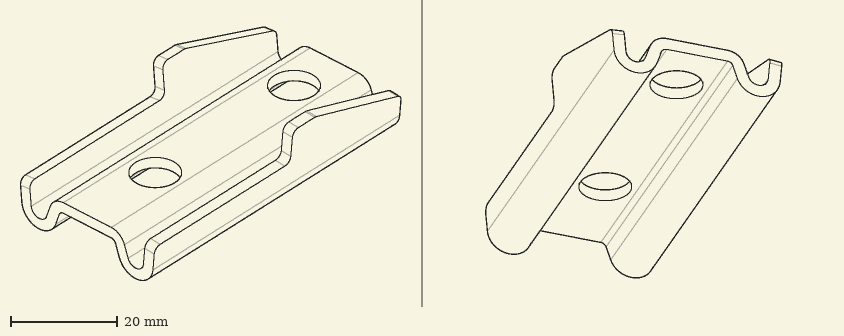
import cadquery as cq
import math

length = 69.25
width = 35.6
height = 17.1

thickness = 2.4
web_top = 8.85
web_half_width = 6.1
web_outer_radius = 3.5
web_inner_radius = web_outer_radius - thickness
valley_outer_radius = 4.4
valley_inner_radius = valley_outer_radius - thickness
wall_tilt = math.radians(5.0)

shelf_height = 9.55
ramp_end_height = 8.9
crest_start = 9.75
crest_end = 3.4
corner_radius = 1.5

hole_diameter = 10.0
hole_positions = (23.3, -15.6)

wall_foot_height = valley_outer_radius - valley_inner_radius * math.sin(wall_tilt)
wall_length = (height - wall_foot_height) / math.cos(wall_tilt)
valley_x = width / 2 - valley_outer_radius * math.cos(wall_tilt) - wall_length * math.sin(wall_tilt)
valley_centre = (valley_x, valley_outer_radius)
web_bend_centre = (web_half_width, web_top - web_outer_radius)

centre_dx = valley_centre[0] - web_bend_centre[0]
centre_dz = valley_centre[1] - web_bend_centre[1]
centre_distance = math.hypot(centre_dx, centre_dz)
flank_angle = math.atan2(centre_dz, centre_dx) + math.acos(
    (web_outer_radius + valley_inner_radius) / centre_distance
)


def on_circle(centre, radius, angle):
    """Point on a circle, with the angle measured from +X toward +Z."""
    return (centre[0] + radius * math.cos(angle), centre[1] + radius * math.sin(angle))


def make_bent_half():
    """Right half of the web, flank and valley, ending where the side wall begins."""
    web_mid = (flank_angle + math.pi / 2) / 2
    valley_start = flank_angle - math.pi
    valley_mid = (valley_start - wall_tilt) / 2
    return (
        cq.Workplane("XZ", origin=(0, length / 2, 0))
        .moveTo(0, web_top)
        .lineTo(web_half_width, web_top)
        .threePointArc(
            on_circle(web_bend_centre, web_outer_radius, web_mid),
            on_circle(web_bend_centre, web_outer_radius, flank_angle),
        )
        .lineTo(*on_circle(valley_centre, valley_inner_radius, valley_start))
        .threePointArc(
            on_circle(valley_centre, valley_inner_radius, valley_mid),
            on_circle(valley_centre, valley_inner_radius, -wall_tilt),
        )
        .lineTo(*on_circle(valley_centre, valley_outer_radius, -wall_tilt))
        .threePointArc(
            on_circle(valley_centre, valley_outer_radius, valley_mid),
            on_circle(valley_centre, valley_outer_radius, valley_start),
        )
        .lineTo(*on_circle(web_bend_centre, web_inner_radius, flank_angle))
        .threePointArc(
            on_circle(web_bend_centre, web_inner_radius, web_mid),
            (web_half_width, web_top - thickness),
        )
        .lineTo(0, web_top - thickness)
        .close()
        .extrude(length)
    )


def along_wall(z):
    """Distance up the tilted wall, from its foot, to height z on the inner face."""
    return (z - wall_foot_height) / math.cos(wall_tilt)


def make_wall():
    """Right side wall: a tilted plate with a ramp, a crest and a low shelf."""
    foot_x, foot_z = on_circle(valley_centre, valley_inner_radius, -wall_tilt)
    outward = (math.cos(wall_tilt), 0, -math.sin(wall_tilt))
    inner_face = cq.Plane(origin=(foot_x, 0, foot_z), xDir=(0, 1, 0), normal=outward)
    plate = (
        cq.Workplane(inner_face)
        .polyline([
            (-length / 2, 0),
            (length / 2, 0),
            (length / 2, along_wall(ramp_end_height)),
            (crest_start, wall_length),
            (crest_end, wall_length),
            (crest_end, along_wall(shelf_height)),
            (-length / 2, along_wall(shelf_height)),
        ])
        .close()
        .extrude(thickness)
    )
    corners = plate.edges(cq.selectors.ParallelDirSelector(cq.Vector(*outward)))
    above_foot = cq.selectors.BoxSelector(
        (0, -length, foot_z + corner_radius), (width, length, height + corner_radius)
    )
    return corners.edges(above_foot).fillet(corner_radius)


half = make_bent_half().union(make_wall())
body = half.union(half.mirror("YZ"))

holes = (
    cq.Workplane("XY")
    .pushPoints([(0, y) for y in hole_positions])
    .circle(hole_diameter / 2)
    .extrude(height)
)
result = body.cut(holes)